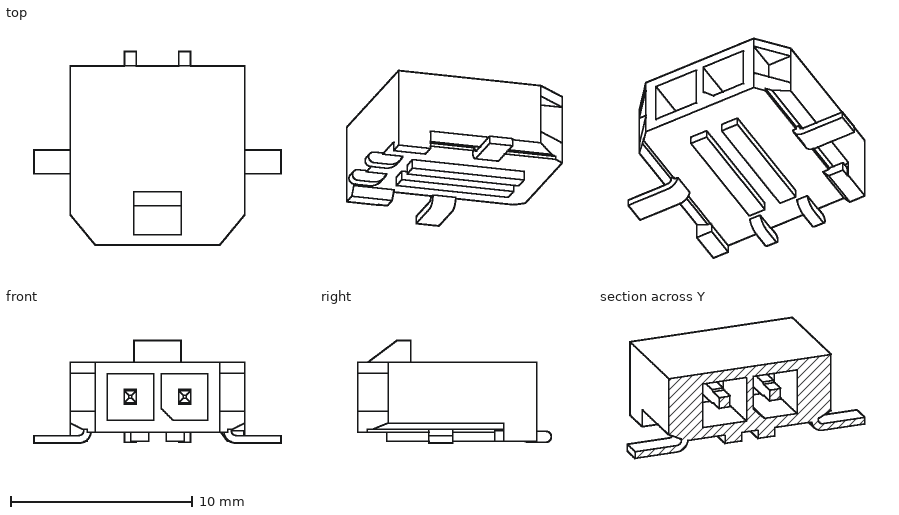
import cadquery as cq


HOUSING_WIDTH = 9.65
HOUSING_DEPTH = 9.9
HOUSING_TOP = 4.47
HOUSING_BOTTOM = 0.59
STANDOFF_BOTTOM = 0.09
HALF_WIDTH = HOUSING_WIDTH / 2

CORNER_X = 1.39
CORNER_Y = 1.68
NOTCH_BOTTOM = 1.76
NOTCH_TOP = 3.85

RELIEF_EDGE_Z = 1.11
RELIEF_FLAT_Z = 0.76
RELIEF_SLOPE_WIDTH = 0.7
RELIEF_WIDTH = 0.95
FOOT_START_Y = 8.06

BRACE_TOP = 0.68
BRACE_INSET = 0.05
BRACE_LENGTH = 0.5
BRACE_TOE = 0.38

RIB_START_Y = 1.6
RIB_INNER_X = 0.48
RIB_WIDTH = 1.0

LATCH_WIDTH = 2.6
LATCH_HEIGHT = 1.2
LATCH_FRONT_Y = 0.57
LATCH_CREST_Y = 2.17
LATCH_REAR_Y = 2.94

PITCH = 3.0
CONTACT_XS = (-PITCH / 2, PITCH / 2)
CAVITY_SIZE = 2.57
CAVITY_DEPTH = 7.5
CAVITY_Z = 2.54
KEY_LEG = 0.65

PIN_Z = 2.56
PIN_SIZE = 0.66
PIN_ROOT_HEIGHT = 0.81
PIN_TIP_SIZE = 0.17
PIN_TIP_Y = 2.5
PIN_TIP_LENGTH = 0.7
PIN_FLARE_START_Y = 5.0
PIN_FLARE_LENGTH = 0.15
TAIL_THICKNESS = 0.62
TAIL_BOTTOM = 0.04
TAIL_END_Y = 10.7
TAIL_INNER_RADIUS = 0.25
TAIL_BEND_END_Y = 9.53

CLIP_SPAN = 13.65
CLIP_THICKNESS = 0.42
CLIP_WIDTH = 1.32
CLIP_Y = 4.6
CLIP_INNER_RADIUS = 0.25
CLIP_STEM_OUTER_X = 4.08
CLIP_STEM_TOP = 1.5

HALF_DIAGONAL = 0.5 ** 0.5


def box(x0, x1, y0, y1, z0, z1):
    """Axis-aligned block between two opposite corners."""
    return cq.Workplane("XY").box(x1 - x0, y1 - y0, z1 - z0, centered=False).translate((x0, y0, z0))


def mirrored(half):
    """A part together with its mirror image across the YZ plane."""
    return half.union(half.mirror("YZ"))


def prism_y(points, y0, y1):
    """Extrude a closed XZ outline from y0 to y1."""
    return cq.Workplane("XZ", origin=(0, y0, 0)).polyline(points).close().extrude(y0 - y1)


def make_shell():
    front_half = HALF_WIDTH - CORNER_X
    plan = [
        (-front_half, 0),
        (front_half, 0),
        (HALF_WIDTH, CORNER_Y),
        (HALF_WIDTH, HOUSING_DEPTH),
        (-HALF_WIDTH, HOUSING_DEPTH),
        (-HALF_WIDTH, CORNER_Y),
    ]
    height = HOUSING_TOP - HOUSING_BOTTOM
    shell = cq.Workplane("XY", origin=(0, 0, HOUSING_BOTTOM)).polyline(plan).close().extrude(height)
    notch = box(front_half, HALF_WIDTH, 0, CORNER_Y, NOTCH_BOTTOM, NOTCH_TOP)
    return shell.cut(mirrored(notch))


def make_side_relief():
    inner_x = HALF_WIDTH - RELIEF_WIDTH
    outline = [
        (HALF_WIDTH, HOUSING_BOTTOM),
        (HALF_WIDTH, RELIEF_EDGE_Z),
        (HALF_WIDTH - RELIEF_SLOPE_WIDTH, RELIEF_FLAT_Z),
        (inner_x, RELIEF_FLAT_Z),
        (inner_x, HOUSING_BOTTOM),
    ]
    return mirrored(prism_y(outline, 0, FOOT_START_Y))


def make_standoffs():
    foot = box(HALF_WIDTH - RELIEF_WIDTH, HALF_WIDTH, FOOT_START_Y, HOUSING_DEPTH,
               STANDOFF_BOTTOM, HOUSING_BOTTOM)
    rib = box(RIB_INNER_X, RIB_INNER_X + RIB_WIDTH, RIB_START_Y, FOOT_START_Y,
              STANDOFF_BOTTOM, HOUSING_BOTTOM)
    return mirrored(foot.union(rib))


def make_brace():
    inner_x = HALF_WIDTH - RELIEF_WIDTH
    outer_x = HALF_WIDTH - BRACE_INSET
    outline = [
        (inner_x, STANDOFF_BOTTOM),
        (outer_x, STANDOFF_BOTTOM),
        (outer_x, BRACE_TOP),
        (inner_x - BRACE_TOE, BRACE_TOP),
        (inner_x - BRACE_TOE, HOUSING_BOTTOM),
    ]
    return prism_y(outline, FOOT_START_Y - BRACE_LENGTH, HOUSING_DEPTH)


def make_latch():
    profile = [
        (LATCH_FRONT_Y, HOUSING_TOP),
        (LATCH_REAR_Y, HOUSING_TOP),
        (LATCH_REAR_Y, HOUSING_TOP + LATCH_HEIGHT),
        (LATCH_CREST_Y, HOUSING_TOP + LATCH_HEIGHT),
    ]
    return cq.Workplane("YZ").polyline(profile).close().extrude(LATCH_WIDTH / 2, both=True)


def make_cavity(x, keyed):
    half = CAVITY_SIZE / 2
    left = x - half
    floor = CAVITY_Z - half
    cavity = box(left, x + half, 0, CAVITY_DEPTH, floor, CAVITY_Z + half)
    if keyed:
        key = [(left, floor), (left + KEY_LEG, floor), (left, floor + KEY_LEG)]
        cavity = cavity.cut(prism_y(key, 0, CAVITY_DEPTH))
    return cavity


def pin_taper(x, y, length, front_size, rear_size):
    """Loft between two centred rectangles, each given as (width, height)."""
    return (
        cq.Workplane("XZ", origin=(x, y, PIN_Z)).rect(*front_size)
        .workplane(offset=-length).rect(*rear_size)
        .loft(ruled=True)
    )


def make_tail(x):
    """Leg from the pin down through the floor, bent rearward to a round-ended foot."""
    outer_radius = TAIL_INNER_RADIUS + TAIL_THICKNESS
    tail_top = TAIL_BOTTOM + TAIL_THICKNESS
    leg_front_y = TAIL_BEND_END_Y - outer_radius
    leg_rear_y = leg_front_y + TAIL_THICKNESS
    bend_z = TAIL_BOTTOM + outer_radius
    end_radius = TAIL_THICKNESS / 2
    end_y = TAIL_END_Y - end_radius
    outer_step = outer_radius * HALF_DIAGONAL
    inner_step = TAIL_INNER_RADIUS * HALF_DIAGONAL
    return (
        cq.Workplane("YZ", origin=(x - PIN_SIZE / 2, 0, 0))
        .moveTo(leg_front_y, PIN_Z)
        .lineTo(leg_front_y, bend_z)
        .threePointArc((TAIL_BEND_END_Y - outer_step, bend_z - outer_step), (TAIL_BEND_END_Y, TAIL_BOTTOM))
        .lineTo(end_y, TAIL_BOTTOM)
        .threePointArc((TAIL_END_Y, TAIL_BOTTOM + end_radius), (end_y, tail_top))
        .lineTo(TAIL_BEND_END_Y, tail_top)
        .threePointArc((TAIL_BEND_END_Y - inner_step, bend_z - inner_step), (leg_rear_y, bend_z))
        .lineTo(leg_rear_y, PIN_Z)
        .close()
        .extrude(PIN_SIZE)
    )


def make_contact(x):
    tip_end_y = PIN_TIP_Y + PIN_TIP_LENGTH
    root_y = PIN_FLARE_START_Y + PIN_FLARE_LENGTH
    leg_rear_y = TAIL_BEND_END_Y - TAIL_INNER_RADIUS
    tip = (PIN_TIP_SIZE, PIN_TIP_SIZE)
    shank = (PIN_SIZE, PIN_SIZE)
    root = (PIN_SIZE, PIN_ROOT_HEIGHT)
    contact = pin_taper(x, PIN_TIP_Y, PIN_TIP_LENGTH, tip, shank)
    contact = contact.union(pin_taper(x, tip_end_y, PIN_FLARE_START_Y - tip_end_y, shank, shank))
    contact = contact.union(pin_taper(x, PIN_FLARE_START_Y, PIN_FLARE_LENGTH, shank, root))
    contact = contact.union(pin_taper(x, root_y, leg_rear_y - root_y, root, root))
    return contact.union(make_tail(x))


def make_clip():
    """Flat soldering tab that bends up into the housing floor on the +X side."""
    outer_radius = CLIP_INNER_RADIUS + CLIP_THICKNESS
    stem_inner_x = CLIP_STEM_OUTER_X - CLIP_THICKNESS
    bend_x = CLIP_STEM_OUTER_X + CLIP_INNER_RADIUS
    bend_z = outer_radius
    outer_step = outer_radius * HALF_DIAGONAL
    inner_step = CLIP_INNER_RADIUS * HALF_DIAGONAL
    return (
        cq.Workplane("XZ", origin=(0, CLIP_Y, 0))
        .moveTo(CLIP_SPAN / 2, 0)
        .lineTo(CLIP_SPAN / 2, CLIP_THICKNESS)
        .lineTo(bend_x, CLIP_THICKNESS)
        .threePointArc((bend_x - inner_step, bend_z - inner_step), (CLIP_STEM_OUTER_X, bend_z))
        .lineTo(CLIP_STEM_OUTER_X, CLIP_STEM_TOP)
        .lineTo(stem_inner_x, CLIP_STEM_TOP)
        .lineTo(stem_inner_x, bend_z)
        .threePointArc((bend_x - outer_step, bend_z - outer_step), (bend_x, 0))
        .close()
        .extrude(CLIP_WIDTH / 2, both=True)
    )


housing = make_shell().cut(make_side_relief())
housing = housing.union(make_standoffs()).union(make_brace()).union(make_latch())
for contact_x in CONTACT_XS:
    housing = housing.cut(make_cavity(contact_x, keyed=contact_x > 0))

result = housing.union(mirrored(make_clip()))
for contact_x in CONTACT_XS:
    result = result.union(make_contact(contact_x))